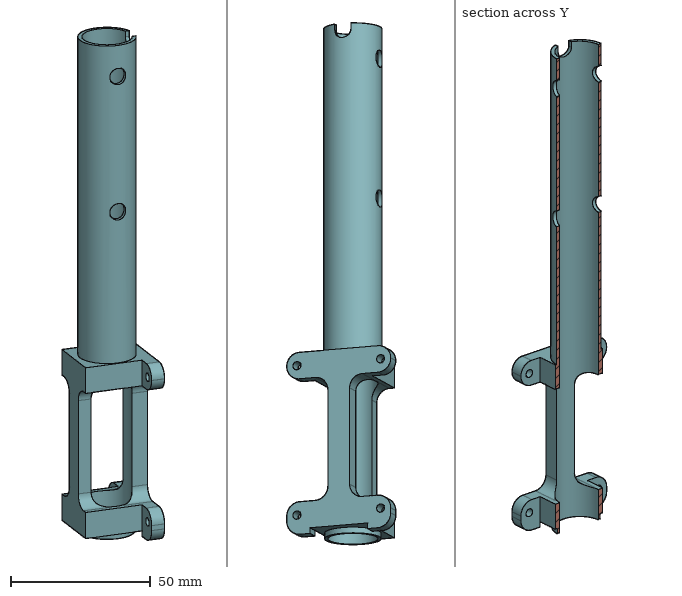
import cadquery as cq

TOTAL_HEIGHT = 187.0
UPPER_BLOCK_TOP = 66.8
UPPER_BLOCK_BOTTOM = 57.0
LOWER_BLOCK_TOP = 12.0
LOWER_BLOCK_BOTTOM = 2.0

TUBE_RADIUS = 10.5
BORE_RADIUS = 9.0
STUB_RADIUS = 10.1

BLOCK_WIDTH = 22.0
CAGE_DEPTH = 27.0
CAGE_BACK = 14.0
CAGE_FRONT = CAGE_BACK - CAGE_DEPTH
POST_WIDTH = 8.5
WINDOW_WIDTH = 15.9
CAGE_FILLET = 4.9

LUG_SPAN = 40.0
LUG_THICKNESS = 5.0
LUG_HOLE_SPACING = 32.2
LUG_HOLE_DIAMETER = 3.0
UPPER_LUG_HOLE_Z = 61.9
LOWER_LUG_HOLE_Z = 7.1
LOWER_LUG_FILLET = 5.0

CROSS_HOLE_DIAMETER = 6.2
CROSS_HOLE_HEIGHTS = (124.0, 175.2)
NOTCH_WIDTH = 6.2
NOTCH_DEPTH = 5.2


def box_between(x_range, y_range, z_range):
    """Box spanning the given (low, high) ranges."""
    lows, highs = zip(x_range, y_range, z_range)
    sizes = [high - low for low, high in zip(lows, highs)]
    return cq.Workplane("XY").box(*sizes, centered=False).translate(lows)


def cylinder_between(radius, bottom, top):
    """Upright cylinder on the tube axis."""
    return cq.Workplane("XY").workplane(offset=bottom).circle(radius).extrude(top - bottom)


def cage():
    """End blocks and posts, with rounded side recesses and a window along X."""
    half_width = BLOCK_WIDTH / 2
    half_post = POST_WIDTH / 2
    opening_z = (LOWER_BLOCK_TOP, UPPER_BLOCK_BOTTOM)
    cage_y = (CAGE_FRONT, CAGE_BACK)
    body = box_between((-half_width, half_width), cage_y, (LOWER_BLOCK_BOTTOM, UPPER_BLOCK_TOP))

    recess = box_between((half_post, half_width), cage_y, opening_z).edges("|Y and <X").fillet(CAGE_FILLET)
    window_y = (-WINDOW_WIDTH / 2, WINDOW_WIDTH / 2)
    window = box_between((-half_width, half_width), window_y, opening_z).edges("|X").fillet(CAGE_FILLET)
    return body.cut(recess).cut(recess.mirror("YZ")).cut(window)


def lug_pair(bottom, top, corner_radius, hole_z):
    """Rounded plate with two holes, kept only where it stands out past the block."""
    plate_y = (CAGE_BACK - LUG_THICKNESS, CAGE_BACK)
    plate = box_between((-LUG_SPAN / 2, LUG_SPAN / 2), plate_y, (bottom, top))
    plate = plate.edges("|Y").fillet(corner_radius)
    between = box_between((-BLOCK_WIDTH / 2, BLOCK_WIDTH / 2), plate_y, (bottom, top))
    holes = (
        cq.Workplane("XZ", origin=(0, CAGE_BACK, hole_z))
        .pushPoints([(-LUG_HOLE_SPACING / 2, 0), (LUG_HOLE_SPACING / 2, 0)])
        .circle(LUG_HOLE_DIAMETER / 2)
        .extrude(LUG_THICKNESS)
    )
    return plate.cut(between).cut(holes)


def cross_hole(height):
    """Round hole through both walls of the tube along X."""
    return (
        cq.Workplane("YZ", origin=(0, 0, height))
        .circle(CROSS_HOLE_DIAMETER / 2)
        .extrude(TUBE_RADIUS, both=True)
    )


def mouth_notch():
    """Round-bottomed notch through the back wall, open at the tube mouth."""
    half_width = NOTCH_WIDTH / 2
    arc_z = TOTAL_HEIGHT - NOTCH_DEPTH + half_width
    return (
        cq.Workplane("XZ")
        .moveTo(-half_width, TOTAL_HEIGHT)
        .lineTo(-half_width, arc_z)
        .threePointArc((0, TOTAL_HEIGHT - NOTCH_DEPTH), (half_width, arc_z))
        .lineTo(half_width, TOTAL_HEIGHT)
        .close()
        .extrude(-TUBE_RADIUS)
    )


upper_lug_radius = 0.499 * (UPPER_BLOCK_TOP - UPPER_BLOCK_BOTTOM)

result = (
    cage()
    .union(cylinder_between(TUBE_RADIUS, UPPER_BLOCK_TOP, TOTAL_HEIGHT))
    .union(cylinder_between(STUB_RADIUS, 0, LOWER_BLOCK_BOTTOM))
    .union(lug_pair(UPPER_BLOCK_BOTTOM, UPPER_BLOCK_TOP, upper_lug_radius, UPPER_LUG_HOLE_Z))
    .union(lug_pair(0, LOWER_BLOCK_TOP, LOWER_LUG_FILLET, LOWER_LUG_HOLE_Z))
    .cut(cylinder_between(BORE_RADIUS, 0, TOTAL_HEIGHT))
    .cut(mouth_notch())
)
for hole_height in CROSS_HOLE_HEIGHTS:
    result = result.cut(cross_hole(hole_height))